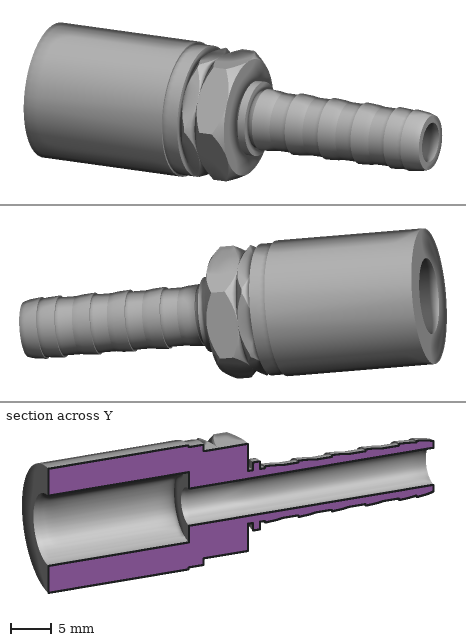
import cadquery as cq
import math

TOTAL_LENGTH = 52.0

SLEEVE_DIAMETER = 17.0
SLEEVE_END = 19.0
BAND_DIAMETER = 16.5
BAND_END = 21.0

HEX_SIDES = 6
HEX_ACROSS_FLATS = 14.65
THIN_HEX_END = 23.0
THICK_HEX_END = 27.0

NECK_DIAMETER = 7.3
COLLAR_DIAMETER = 9.35
COLLAR_START = 27.6
COLLAR_WIDTH = 1.0
BARB_DIAMETER = 7.75
BARB_LENGTH = 2.35
BARB_PITCH = 4.5
BARB_COUNT = 5
NOSE_DIAMETER = 6.9

SOCKET_DIAMETER = 9.5
SOCKET_DEPTH = SLEEVE_END
BORE_DIAMETER = 5.0


def cylinder(diameter, start, end):
    """Solid cylinder along X between two stations."""
    return cq.Workplane("YZ", origin=(start, 0, 0)).circle(diameter / 2).extrude(end - start)


def chamfered_hexagon(start, end):
    """Hexagon with flats facing +Z and -Z and its corners turned off by cones on both faces."""
    across_corners = HEX_ACROSS_FLATS / math.cos(math.pi / HEX_SIDES)
    face_radius = HEX_ACROSS_FLATS / 2
    half_length = (end - start) / 2
    prism = (
        cq.Workplane("YZ", origin=(start, 0, 0))
        .polygon(HEX_SIDES, across_corners)
        .extrude(end - start)
    )
    double_cone = (
        cq.Workplane("XZ")
        .moveTo(start, 0)
        .lineTo(start, face_radius)
        .lineTo(start + half_length, face_radius + half_length)
        .lineTo(end, face_radius)
        .lineTo(end, 0)
        .close()
        .revolve(360, (0, 0, 0), (1, 0, 0))
    )
    return prism.intersect(double_cone)


def barb(start, end_diameter):
    """Ring that steps up to the barb diameter, then curves down to its end diameter."""
    ridge_radius = BARB_DIAMETER / 2
    end_radius = end_diameter / 2
    end = start + BARB_LENGTH
    middle_radius = ridge_radius - (ridge_radius - end_radius) / 4
    return (
        cq.Workplane("XZ")
        .moveTo(start, 0)
        .lineTo(start, ridge_radius)
        .threePointArc((start + BARB_LENGTH / 2, middle_radius), (end, end_radius))
        .lineTo(end, 0)
        .close()
        .revolve(360, (0, 0, 0), (1, 0, 0))
    )


body = (
    cylinder(SLEEVE_DIAMETER, 0, SLEEVE_END)
    .union(cylinder(BAND_DIAMETER, SLEEVE_END, BAND_END))
    .union(chamfered_hexagon(BAND_END, THIN_HEX_END))
    .union(chamfered_hexagon(THIN_HEX_END, THICK_HEX_END))
)

nose_start = TOTAL_LENGTH - BARB_LENGTH
body = body.union(cylinder(NECK_DIAMETER, THICK_HEX_END, nose_start))
body = body.union(cylinder(COLLAR_DIAMETER, COLLAR_START, COLLAR_START + COLLAR_WIDTH))
for index in range(BARB_COUNT):
    barb_start = nose_start - BARB_LENGTH - index * BARB_PITCH
    body = body.union(barb(barb_start, NECK_DIAMETER))
body = body.union(barb(nose_start, NOSE_DIAMETER))

socket = cylinder(SOCKET_DIAMETER, 0, SOCKET_DEPTH)
bore = cylinder(BORE_DIAMETER, 0, TOTAL_LENGTH)
result = body.cut(socket).cut(bore)